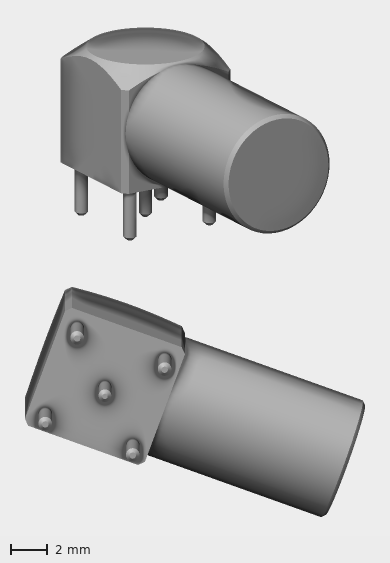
import cadquery as cq
import math

block_side = 7.0
corner_chamfer = 0.3
crown_flat_diameter = 6.5
crown_slope = 35.0

barrel_diameter = 6.8
barrel_length = 10.5
barrel_end_chamfer = 0.2

ground_pin_diameter = 0.75
ground_pin_length = 3.0
ground_pin_offset = 2.55
signal_pin_diameter = 0.7
signal_pin_length = 2.8
pin_tip_chamfer = 0.2


def crown_cone():
    """Solid of revolution that bevels the top of the block around a round flat."""
    flat_radius = crown_flat_diameter / 2
    outer_radius = block_side
    drop = (outer_radius - flat_radius) * math.tan(math.radians(crown_slope))
    return (
        cq.Workplane("XZ")
        .moveTo(0, 0)
        .lineTo(outer_radius, 0)
        .lineTo(outer_radius, block_side - drop)
        .lineTo(flat_radius, block_side)
        .lineTo(0, block_side)
        .close()
        .revolve(360, (0, 0, 0), (0, 1, 0))
    )


def housing_block():
    block = cq.Workplane("XY").box(block_side, block_side, block_side, centered=(True, True, False))
    return block.edges("|Z").chamfer(corner_chamfer).intersect(crown_cone())


def barrel():
    return (
        cq.Workplane("YZ", origin=(block_side / 2, 0, block_side / 2))
        .circle(barrel_diameter / 2)
        .extrude(barrel_length)
        .faces(">X")
        .chamfer(barrel_end_chamfer)
    )


def pin(x, y, diameter, length):
    """Round pin hanging from the block underside, with a chamfered tip."""
    return (
        cq.Workplane("XY", origin=(x, y, 0))
        .circle(diameter / 2)
        .extrude(-length)
        .faces("<Z")
        .chamfer(pin_tip_chamfer)
    )


result = housing_block().union(barrel())
result = result.union(pin(0, 0, signal_pin_diameter, signal_pin_length))
for x_side in (-1, 1):
    for y_side in (-1, 1):
        ground_pin = pin(
            x_side * ground_pin_offset,
            y_side * ground_pin_offset,
            ground_pin_diameter,
            ground_pin_length,
        )
        result = result.union(ground_pin)